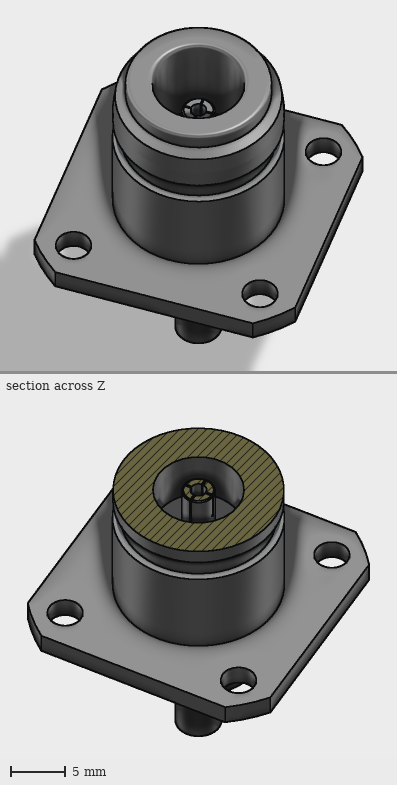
import cadquery as cq

total_height = 34.8

flange_side = 25.4
flange_corner_radius = 15.95
flange_top = total_height - 16.7
flange_thickness = 2.02
flange_bottom = flange_top - flange_thickness
mount_hole_diameter = 3.27
mount_hole_pitch = 18.15

body_radius = 7.95
collar_radius = 7.9
body_top = total_height - 7.83
neck_radius = 7.2
neck_top = total_height - 6.35
collar_bottom = total_height - 5.6
collar_taper_start = total_height - 3.83
collar_shoulder_radius = 7.7
collar_shoulder = total_height - 2.12
rim_radius = 6.75
rim_bottom = total_height - 1.53
rim_fillet = 0.5

barrel_radius = 6.25
barrel_bottom = total_height - 25.35
barrel_fillet = 0.5
pin_radius = 2.15

socket_radius = 4.25
socket_floor_radius = 4.1
socket_depth = 9.05
socket_floor = total_height - socket_depth
mouth_fillet = 0.5

contact_radius = 1.53
contact_height = 4.95
contact_edge_chamfer = 0.17
contact_bore_radius = 0.73
contact_slot_width = 0.15
contact_slot_depth = 2.8


def cylinder(radius, bottom, top):
    return cq.Workplane("XY").workplane(offset=bottom).circle(radius).extrude(top - bottom)


def make_flange():
    plate = (
        cq.Workplane("XY")
        .workplane(offset=flange_bottom)
        .rect(flange_side, flange_side)
        .extrude(flange_thickness)
    )
    plate = plate.intersect(cylinder(flange_corner_radius, flange_bottom, flange_top))
    return (
        plate.faces(">Z")
        .workplane()
        .rect(mount_hole_pitch, mount_hole_pitch, forConstruction=True)
        .vertices()
        .hole(mount_hole_diameter)
    )


def make_front_body():
    profile = [
        (0, flange_top),
        (body_radius, flange_top),
        (body_radius, body_top),
        (neck_radius, body_top),
        (neck_radius, neck_top),
        (collar_radius, collar_bottom),
        (collar_radius, collar_taper_start),
        (collar_shoulder_radius, collar_shoulder),
        (rim_radius, rim_bottom),
        (rim_radius, total_height),
        (0, total_height),
    ]
    body = cq.Workplane("XZ").polyline(profile).close().revolve(360, (0, 0), (0, 1))
    return body.faces(">Z").edges().fillet(rim_fillet)


def make_socket():
    mouth_start = total_height - mouth_fillet
    arc_reach = mouth_fillet * (1 - 0.5**0.5)
    return (
        cq.Workplane("XZ")
        .moveTo(0, socket_floor)
        .lineTo(socket_floor_radius, socket_floor)
        .lineTo(socket_radius, mouth_start)
        .threePointArc(
            (socket_radius + arc_reach, total_height - arc_reach),
            (socket_radius + mouth_fillet, total_height),
        )
        .lineTo(0, total_height)
        .close()
        .revolve(360, (0, 0), (0, 1))
    )


def make_contact():
    contact_top = socket_floor + contact_height
    slot_floor = contact_top - contact_slot_depth
    contact = cylinder(contact_radius, socket_floor, contact_top)
    contact = contact.faces(">Z").edges().chamfer(contact_edge_chamfer)
    contact = contact.cut(cylinder(contact_bore_radius, slot_floor, contact_top))
    slot = (
        cq.Workplane("XY")
        .workplane(offset=slot_floor)
        .rect(2 * contact_radius, contact_slot_width)
        .extrude(contact_slot_depth)
    )
    for angle in (0, 90):
        contact = contact.cut(slot.rotate((0, 0, 0), (0, 0, 1), angle))
    return contact


barrel = cylinder(barrel_radius, barrel_bottom, flange_bottom).faces("<Z").edges().fillet(barrel_fillet)
tail_pin = cylinder(pin_radius, 0, barrel_bottom)

result = (
    make_flange()
    .union(make_front_body())
    .union(barrel)
    .union(tail_pin)
    .cut(make_socket())
    .union(make_contact())
)